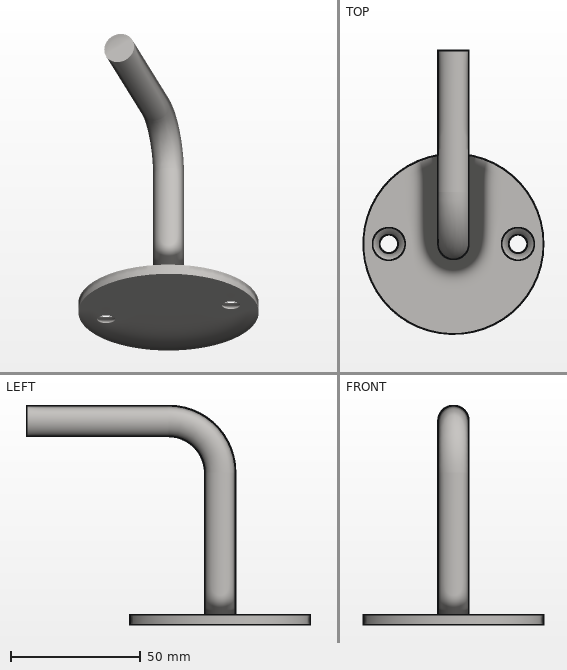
import cadquery as cq

plate_diameter = 70.0
plate_thickness = 4.0

rod_diameter = 12.0
bend_radius = 20.0
overall_length = 110.0
overall_height = 85.0

hole_spacing = 50.0
hole_diameter = 7.0
countersink_diameter = 12.6
countersink_rim_depth = 0.5

rod_end_y = overall_length - plate_diameter / 2
rod_axis_z = overall_height - rod_diameter / 2


def make_screw_hole():
    """Cutter on the Z axis: a straight hole, a 90-degree cone and a straight rim."""
    hole_radius = hole_diameter / 2
    countersink_radius = countersink_diameter / 2
    cone_top_z = plate_thickness - countersink_rim_depth
    cone_bottom_z = cone_top_z - (countersink_radius - hole_radius)
    return (
        cq.Workplane("XZ")
        .lineTo(hole_radius, 0)
        .lineTo(hole_radius, cone_bottom_z)
        .lineTo(countersink_radius, cone_top_z)
        .lineTo(countersink_radius, plate_thickness)
        .lineTo(0, plate_thickness)
        .close()
        .revolve(360, (0, 0, 0), (0, 1, 0))
    )


def make_plate():
    """Disc with two screw holes countersunk from above."""
    plate = cq.Workplane("XY").circle(plate_diameter / 2).extrude(plate_thickness)
    for side in (-1, 1):
        plate = plate.cut(make_screw_hole().translate((side * hole_spacing / 2, 0, 0)))
    return plate


def make_rod():
    """Round bar swept up, through a quarter bend, and out along +Y."""
    centreline = (
        cq.Workplane("YZ")
        .moveTo(0, plate_thickness)
        .lineTo(0, rod_axis_z - bend_radius)
        .tangentArcPoint((bend_radius, rod_axis_z), relative=False)
        .lineTo(rod_end_y, rod_axis_z)
    )
    section = cq.Workplane("XY", origin=(0, 0, plate_thickness)).circle(rod_diameter / 2)
    return section.sweep(centreline)


result = make_plate().union(make_rod())